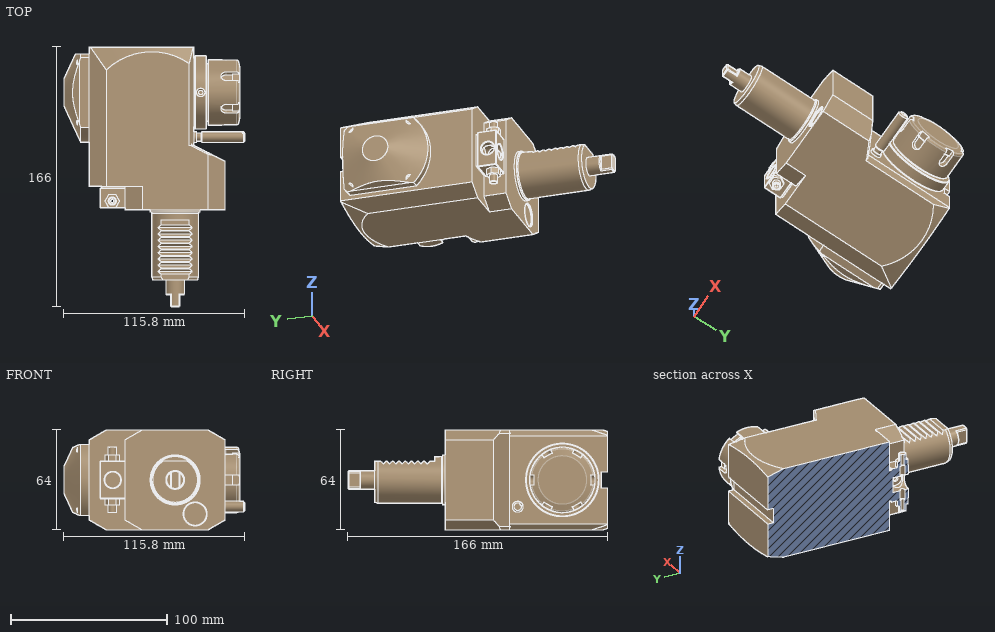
import cadquery as cq
import math

HALF_HEIGHT = 32.0
HOUSING_LEFT = -55.0
HOUSING_BACK = 104.0
FOOT_HALF_WIDTH = 32.0
FOOT_DEPTH = 15.0
BEVEL_WIDTH = 11.0
BEVEL_DROP = BEVEL_WIDTH * math.tan(math.radians(30))
SPINDLE_FACE_X = 12.0
SLANT_TOP_Y = 41.2
SLANT_BOTTOM_Y = 31.0
SLANT_BEVEL_WIDTH = 1.0
SLANT_BEVEL_DROP = 2.3
SLANT_BEVEL_OVERRUN = 1.7
SPINDLE_BEVEL_WIDTH = 3.0
SPINDLE_BEVEL_DROP = 4.0
DOME_CENTER_X = -15.0
DOME_CENTER_Y = 59.0
DOME_TOP_RADIUS = 42.0
DOME_SLOPE = 3.0
BACK_SLOT_WIDTH = 10.0
BACK_SLOT_DEPTH = 4.0
PLUG_X, PLUG_Z = 12.75, -21.75
PLUG_RADIUS = 7.25
PLUG_DEPTH = 1.0
PLUG_CHAMFER = 0.4

SPINDLE_Y = 75.0

COVER_RADIUS = 32.0
COVER_FLAT_RADIUS = 8.6
COVER_TIP_X = -71.2
COVER_RIM_X = -60.4
COVER_BACK_OFFSET = 24.6
COVER_HALF_HEIGHT = 22.8
COVER_BEVEL_START_X = -61.1
COVER_BEVEL_ANGLE = 25.0
COVER_SCREW_OFFSET = 20.4
COVER_SCREW_RADIUS = 2.5
COVER_SCREW_FLOOR_X = -62.5

COLLAR_START_X, COLLAR_END_X = 12.4, 20.1
COLLAR_RADIUS = 23.5
COLLAR_SEAT_RADIUS = 22.0
COLLAR_CHAMFER = 0.5
NECK_RADIUS = 18.5
NUT_START_X, NUT_SHOULDER_X, NUT_END_X = 20.9, 40.4, 41.6
NUT_RADIUS = 21.0
NUT_SHOULDER_FILLET = 1.5
NUT_END_RADIUS = 15.5
NUT_CHAMFER = 0.4
WRENCH_SLOTS = 6
WRENCH_SLOT_WIDTH = 6.2
WRENCH_SLOT_START_X = 29.3
WRENCH_SLOT_FLOOR = 17.1
WRENCH_SLOT_STEP_X = 36.6
WRENCH_SLOT_STEP_FLOOR = 18.2
SET_SCREW_X = 16.3
SET_SCREW_RADIUS = 2.7
SET_SCREW_SOCKET_RADIUS = 1.4
SET_SCREW_SOCKET_DEPTH = 2.0

PIN_Y, PIN_Z = 46.5, -17.1
PIN_RADIUS = 3.5
PIN_BASE_END_X, PIN_NECK_END_X, PIN_END_X = 13.8, 16.5, 44.63
PIN_NECK_RADIUS = 2.7
PIN_CHAMFER = 1.1
JET_RADIUS = 1.2
JET_DEPTH = 3.0
JET_TILT = 35.0

SHANK_RADIUS = 15.0
SHANK_END_Y = -45.0
SHANK_TAPER_LENGTH = 2.1
SHANK_END_RADIUS = 14.3
SHANK_RING_RADIUS = 16.0
SHANK_RING_WIDTH = 1.5
SHANK_ROOT_RADIUS = 15.4
SHANK_ROOT_Y = -2.25
SHANK_FLAT_Z = 12.0
SHANK_FLAT_START_Y = -6.6
TOOTH_COUNT = 8
TOOTH_PITCH = 4.0
TOOTH_DEPTH = 1.7
FIRST_GROOVE_Y = -11.4
DRIVE_RADIUS = 6.0
DRIVE_SHOULDER_Y = -54.5
TANG_END_Y = -62.0
TANG_WIDTH = 6.0
TANG_CHAMFER = 0.6

BLOCK_LEFT = -48.0
BLOCK_FRONT, BLOCK_BACK = 1.2, 14.0
BLOCK_HALF_HEIGHT = 12.1
BLOCK_CHAMFER = 0.4
SEAT_INSET = 1.0
FITTING_X, FITTING_Y = -40.2, 5.6
HEX_ACROSS_CORNERS = 9.3
HEX_HEIGHT = 4.0
STUB_RADIUS = 2.6
STUB_TOP_Z = 20.9
STUB_BORE_RADIUS = 1.0
STUB_FLARE = 1.0
FRONT_PORT_X = -39.9
FRONT_PORT_RADIUS = 5.1
FRONT_PORT_END_Y = 12.5
SIDE_PORT_Y = 7.0
SIDE_PORT_RADIUS = 4.4
SIDE_PORT_END_X = -33.5
PORT_CHAMFER = 0.4
BLOCK_EMBED = 1.0
CROSS_BORE_RADIUS = 1.6


def box(x0, x1, y0, y1, z0, z1):
    return cq.Workplane("XY").box(x1 - x0, y1 - y0, z1 - z0, centered=False).translate((x0, y0, z0))


def rod_x(x0, x1, y, z, radius):
    return cq.Workplane("YZ", origin=(x0, y, z)).circle(radius).extrude(x1 - x0)


def rod_y(y0, y1, x, z, radius):
    return cq.Workplane("XZ", origin=(x, y0, z)).circle(radius).extrude(y0 - y1)


def rod_z(z0, z1, x, y, radius):
    return cq.Workplane("XY", origin=(x, y, z0)).circle(radius).extrude(z1 - z0)


def beveled_bar(x0, x1, y0, y1):
    """Bar along Y whose four long edges are beveled."""
    edge_z = HALF_HEIGHT - BEVEL_DROP
    outline = [
        (x0, -edge_z), (x0 + BEVEL_WIDTH, -HALF_HEIGHT),
        (x1 - BEVEL_WIDTH, -HALF_HEIGHT), (x1, -edge_z),
        (x1, edge_z), (x1 - BEVEL_WIDTH, HALF_HEIGHT),
        (x0 + BEVEL_WIDTH, HALF_HEIGHT), (x0, edge_z),
    ]
    return cq.Workplane("XZ", origin=(0, y0, 0)).polyline(outline).close().extrude(y0 - y1)


def spindle_side_relief():
    """Material removed to the right of the spindle face and above the slanted shoulder."""
    outline = [
        (SPINDLE_FACE_X, SLANT_TOP_Y), (FOOT_HALF_WIDTH, SLANT_BOTTOM_Y),
        (FOOT_HALF_WIDTH, HOUSING_BACK), (SPINDLE_FACE_X, HOUSING_BACK),
    ]
    relief = cq.Workplane("XY").polyline(outline).close().extrude(HALF_HEIGHT, both=True)
    for side in (1, -1):
        bevel = [
            (SPINDLE_FACE_X - SPINDLE_BEVEL_WIDTH, side * HALF_HEIGHT),
            (SPINDLE_FACE_X, side * HALF_HEIGHT),
            (SPINDLE_FACE_X, side * (HALF_HEIGHT - SPINDLE_BEVEL_DROP)),
        ]
        wedge = cq.Workplane("XZ", origin=(0, SLANT_TOP_Y, 0)).polyline(bevel).close()
        relief = relief.union(wedge.extrude(SLANT_TOP_Y - HOUSING_BACK))
    return relief


def slant_bevel(side):
    """Narrow bevel where the slanted shoulder meets the top (side = 1) or bottom (side = -1) face."""
    run = FOOT_HALF_WIDTH - SPINDLE_FACE_X
    fall = SLANT_TOP_Y - SLANT_BOTTOM_Y
    plane = cq.Plane(origin=(FOOT_HALF_WIDTH, SLANT_BOTTOM_Y, 0), xDir=(fall, run, 0), normal=(-run, fall, 0))
    wedge = [
        (-SLANT_BEVEL_WIDTH, side * HALF_HEIGHT), (0, side * HALF_HEIGHT),
        (0, side * (HALF_HEIGHT - SLANT_BEVEL_DROP)),
    ]
    length = math.hypot(run, fall) + SLANT_BEVEL_OVERRUN
    return cq.Workplane(plane).polyline(wedge).close().extrude(length)


def dome_envelope():
    """Double cone about a Z axis that trims the back ends of the top and bottom faces."""
    middle_radius = DOME_TOP_RADIUS + DOME_SLOPE * HALF_HEIGHT
    profile = [
        (0, -HALF_HEIGHT), (DOME_TOP_RADIUS, -HALF_HEIGHT), (middle_radius, 0),
        (DOME_TOP_RADIUS, HALF_HEIGHT), (0, HALF_HEIGHT),
    ]
    cone = cq.Workplane("XZ").polyline(profile).close().revolve(360, (0, 0, 0), (0, 1, 0))
    return cone.translate((DOME_CENTER_X, DOME_CENTER_Y, 0))


def housing():
    body = beveled_bar(HOUSING_LEFT, FOOT_HALF_WIDTH, FOOT_DEPTH, HOUSING_BACK)
    body = body.cut(spindle_side_relief()).cut(slant_bevel(1)).cut(slant_bevel(-1))
    back_half = box(
        HOUSING_LEFT, FOOT_HALF_WIDTH, DOME_CENTER_Y, HOUSING_BACK, -HALF_HEIGHT, HALF_HEIGHT
    )
    back = body.intersect(back_half)
    front = body.cut(back)
    body = front.union(back.intersect(dome_envelope()))
    body = body.union(beveled_bar(-FOOT_HALF_WIDTH, FOOT_HALF_WIDTH, 0, FOOT_DEPTH))
    half_slot = BACK_SLOT_WIDTH / 2
    slot_floor = HOUSING_BACK - BACK_SLOT_DEPTH
    body = body.cut(box(HOUSING_LEFT, SPINDLE_FACE_X, slot_floor, HOUSING_BACK, -half_slot, half_slot))
    body = body.cut(rod_y(0, PLUG_DEPTH, PLUG_X, PLUG_Z, PLUG_RADIUS))
    return body.faces("<Y").edges("%CIRCLE").chamfer(PLUG_CHAMFER)


def turned_x(profile):
    """Solid of revolution about the spindle axis from (x, radius) points."""
    turned = cq.Workplane("XY").polyline(profile).close().revolve(360, (0, 0, 0), (1, 0, 0))
    return turned.translate((0, SPINDLE_Y, 0))


def cover():
    disc = turned_x([
        (HOUSING_LEFT, 0), (HOUSING_LEFT, COVER_RADIUS), (COVER_RIM_X, COVER_RADIUS),
        (COVER_TIP_X, COVER_FLAT_RADIUS), (COVER_TIP_X, 0),
    ])
    bevel_run = COVER_BEVEL_START_X - COVER_TIP_X
    tip_height = COVER_HALF_HEIGHT - bevel_run * math.tan(math.radians(COVER_BEVEL_ANGLE))
    outline = [
        (HOUSING_LEFT, -COVER_HALF_HEIGHT), (COVER_BEVEL_START_X, -COVER_HALF_HEIGHT),
        (COVER_TIP_X, -tip_height), (COVER_TIP_X, tip_height),
        (COVER_BEVEL_START_X, COVER_HALF_HEIGHT), (HOUSING_LEFT, COVER_HALF_HEIGHT),
    ]
    y_back = SPINDLE_Y + COVER_BACK_OFFSET
    y_front = SPINDLE_Y - COVER_RADIUS
    envelope = cq.Workplane("XZ", origin=(0, y_front, 0)).polyline(outline).close().extrude(y_front - y_back)
    disc = disc.intersect(envelope)
    for y_side in (1, -1):
        for z_side in (1, -1):
            y = SPINDLE_Y + y_side * COVER_SCREW_OFFSET
            z = z_side * COVER_SCREW_OFFSET
            disc = disc.cut(rod_x(COVER_TIP_X, COVER_SCREW_FLOOR_X, y, z, COVER_SCREW_RADIUS))
    return disc


def wrench_slot():
    """Round-ended slot with a raised outer floor, cut into the nut from above."""
    half = WRENCH_SLOT_WIDTH / 2
    round_x = WRENCH_SLOT_START_X + half
    slot = rod_z(WRENCH_SLOT_FLOOR, NUT_RADIUS, round_x, 0, half)
    slot = slot.union(box(round_x, WRENCH_SLOT_STEP_X, -half, half, WRENCH_SLOT_FLOOR, NUT_RADIUS))
    return slot.union(box(WRENCH_SLOT_STEP_X, NUT_END_X, -half, half, WRENCH_SLOT_STEP_FLOOR, NUT_RADIUS))


def chuck():
    body = turned_x([
        (SPINDLE_FACE_X, 0), (SPINDLE_FACE_X, COLLAR_SEAT_RADIUS), (COLLAR_START_X, COLLAR_SEAT_RADIUS),
        (COLLAR_START_X, COLLAR_RADIUS - COLLAR_CHAMFER),
        (COLLAR_START_X + COLLAR_CHAMFER, COLLAR_RADIUS), (COLLAR_END_X - COLLAR_CHAMFER, COLLAR_RADIUS),
        (COLLAR_END_X, COLLAR_RADIUS - COLLAR_CHAMFER), (COLLAR_END_X, NECK_RADIUS),
        (NUT_START_X, NECK_RADIUS), (NUT_START_X, NUT_RADIUS - NUT_CHAMFER),
        (NUT_START_X + NUT_CHAMFER, NUT_RADIUS), (NUT_SHOULDER_X, NUT_RADIUS),
        (NUT_END_X, NUT_END_RADIUS), (NUT_END_X, 0),
    ])
    shoulder = cq.selectors.NearestToPointSelector((NUT_SHOULDER_X, SPINDLE_Y, 0))
    body = body.edges(shoulder).fillet(NUT_SHOULDER_FILLET)
    for index in range(WRENCH_SLOTS):
        angle = 360 / WRENCH_SLOTS * (index + 0.5)
        body = body.cut(wrench_slot().rotate((0, 0, 0), (1, 0, 0), angle).translate((0, SPINDLE_Y, 0)))
    socket_bottom = COLLAR_RADIUS - SET_SCREW_SOCKET_DEPTH
    socket = rod_z(socket_bottom, COLLAR_RADIUS, SET_SCREW_X, SPINDLE_Y, SET_SCREW_SOCKET_RADIUS)
    well = rod_z(socket_bottom, COLLAR_RADIUS, SET_SCREW_X, SPINDLE_Y, SET_SCREW_RADIUS)
    well = well.faces("<Z").chamfer(SET_SCREW_RADIUS - SET_SCREW_SOCKET_RADIUS)
    return body.cut(socket).cut(well)


def coolant_pin():
    """Grooved pin with an oblique jet hole in its end, aimed outward and tilted toward +Z."""
    base = rod_x(SPINDLE_FACE_X, PIN_BASE_END_X, PIN_Y, PIN_Z, PIN_RADIUS)
    neck = rod_x(PIN_BASE_END_X, PIN_NECK_END_X, PIN_Y, PIN_Z, PIN_NECK_RADIUS)
    tube = rod_x(PIN_NECK_END_X, PIN_END_X, PIN_Y, PIN_Z, PIN_RADIUS)
    tube = tube.faces(">X").chamfer(PIN_CHAMFER).faces("<X").chamfer(PIN_RADIUS - PIN_NECK_RADIUS)
    tilt = math.radians(JET_TILT)
    radial_y = math.cos(tilt)
    radial_z = math.sin(tilt)
    corner = (PIN_END_X, PIN_Y + PIN_RADIUS * radial_y, PIN_Z + PIN_RADIUS * radial_z)
    inward = cq.Plane(origin=corner, xDir=(0, -radial_z, radial_y), normal=(-1, -radial_y, -radial_z))
    jet = cq.Workplane(inward).circle(JET_RADIUS).extrude(JET_DEPTH)
    return base.union(neck).union(tube).cut(jet)


def shank():
    profile = [
        (0, 0), (SHANK_RING_RADIUS, 0), (SHANK_RING_RADIUS, -SHANK_RING_WIDTH),
        (SHANK_ROOT_RADIUS, -SHANK_RING_WIDTH), (SHANK_RADIUS, SHANK_ROOT_Y),
        (SHANK_RADIUS, SHANK_END_Y + SHANK_TAPER_LENGTH), (SHANK_END_RADIUS, SHANK_END_Y), (0, SHANK_END_Y),
    ]
    body = cq.Workplane("XY").polyline(profile).close().revolve(360, (0, 0, 0), (0, 1, 0))
    flat = box(-SHANK_RADIUS, SHANK_RADIUS, SHANK_END_Y, SHANK_FLAT_START_Y, SHANK_FLAT_Z, SHANK_RADIUS)
    body = body.cut(flat)
    for index in range(TOOTH_COUNT):
        y = FIRST_GROOVE_Y - index * TOOTH_PITCH
        groove = [
            (y - TOOTH_DEPTH, SHANK_FLAT_Z), (y, SHANK_FLAT_Z - TOOTH_DEPTH), (y + TOOTH_DEPTH, SHANK_FLAT_Z),
        ]
        cutter = cq.Workplane("YZ").polyline(groove).close().extrude(SHANK_RADIUS, both=True)
        body = body.cut(cutter)
    drive = rod_y(SHANK_END_Y, DRIVE_SHOULDER_Y, 0, 0, DRIVE_RADIUS).faces("<Y").chamfer(TANG_CHAMFER)
    half = TANG_WIDTH / 2
    blade = box(-half, half, TANG_END_Y, SHANK_END_Y, -DRIVE_RADIUS, DRIVE_RADIUS)
    tang = rod_y(SHANK_END_Y, TANG_END_Y, 0, 0, DRIVE_RADIUS).intersect(blade)
    tang = tang.faces("<Y or <X or >X").edges().chamfer(TANG_CHAMFER)
    return body.union(drive).union(tang)


def fitting(side):
    """Hexagon and hose stub on the upper (side = 1) or lower (side = -1) face of the block."""
    base = cq.Workplane("XY", origin=(FITTING_X, FITTING_Y, BLOCK_HALF_HEIGHT))
    hexagon = base.polygon(6, HEX_ACROSS_CORNERS).extrude(HEX_HEIGHT)
    stub = rod_z(BLOCK_HALF_HEIGHT, STUB_TOP_Z, FITTING_X, FITTING_Y, STUB_RADIUS)
    bore = rod_z(BLOCK_HALF_HEIGHT, STUB_TOP_Z, FITTING_X, FITTING_Y, STUB_BORE_RADIUS)
    upper = hexagon.union(stub).cut(bore)
    inner_rim = cq.selectors.RadiusNthSelector(0)
    upper = upper.faces(">Z").edges(inner_rim).chamfer(STUB_FLARE)
    return upper if side > 0 else upper.mirror("XY")


def coolant_block():
    half = BLOCK_HALF_HEIGHT
    inner_x = BLOCK_EMBED - FOOT_HALF_WIDTH
    block = box(BLOCK_LEFT, inner_x, BLOCK_FRONT, BLOCK_BACK, -half, half).edges().chamfer(BLOCK_CHAMFER)
    seat_left = BLOCK_LEFT + SEAT_INSET
    seat_half = half - SEAT_INSET
    block = block.union(box(seat_left, inner_x, BLOCK_BACK, FOOT_DEPTH, -seat_half, seat_half))
    block = block.union(fitting(1)).union(fitting(-1))
    front_port = rod_y(BLOCK_FRONT, FRONT_PORT_END_Y, FRONT_PORT_X, 0, FRONT_PORT_RADIUS)
    side_port = rod_x(BLOCK_LEFT, SIDE_PORT_END_X, SIDE_PORT_Y, 0, SIDE_PORT_RADIUS)
    side_bore = rod_x(SIDE_PORT_END_X, -FOOT_HALF_WIDTH, SIDE_PORT_Y, 0, CROSS_BORE_RADIUS)
    block = block.cut(front_port)
    block = block.faces("<Y").edges("%CIRCLE").chamfer(PORT_CHAMFER)
    block = block.cut(side_port)
    block = block.faces("<X").edges("%CIRCLE").chamfer(PORT_CHAMFER)
    fitting_bore = rod_z(-half, half, FITTING_X, FITTING_Y, CROSS_BORE_RADIUS)
    return block.cut(side_bore).cut(fitting_bore)


result = housing()
for piece in (cover(), chuck(), coolant_pin(), shank(), coolant_block()):
    result = result.union(piece)